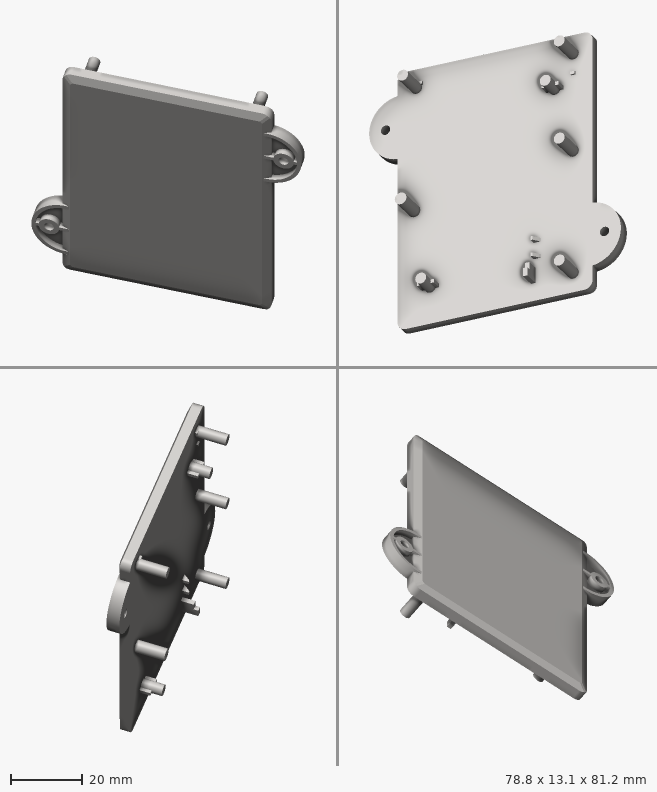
import cadquery as cq

PLATE_WIDTH = 61.0
PLATE_HEIGHT = 81.19
PLATE_THICKNESS = 4.0
CORNER_RADIUS = 2.6
BEVEL_WIDTH = 2.45
BEVEL_DEPTH = 1.0
BEVEL_CORNER_CUT = 0.7

OVERALL_WIDTH = 78.77
EAR_RADIUS = 10.0
EAR_X = OVERALL_WIDTH / 2 - EAR_RADIUS
EAR_Z = 23.55
EAR_THICKNESS = 3.85
EAR_FLOOR = 1.9
EAR_WALL = 1.2
EAR_RIB_WIDTH = 1.1
HUB_X = 34.25
HUB_RADIUS = 3.0
SCREW_HOLE_DIAMETER = 2.9

OVERALL_DEPTH = 13.1
POST_LENGTH = OVERALL_DEPTH - PLATE_THICKNESS
POST_DIAMETER = 3.4
POST_X = 24.5
CORNER_POST_Z = 34.6
LEFT_MIDDLE_POST_Z = 3.9
RIGHT_MIDDLE_POST_X = 25.2
RIGHT_MIDDLE_POST_Z = -4.05
RIGHT_MIDDLE_POST_DIAMETER = 3.65
RIGHT_MIDDLE_POST_LENGTH = 8.95

RIBBED_POST_CENTERS = [(-18.75, 24.7), (20.2, -29.1)]
RIBBED_POST_LENGTH = 6.3
SHOULDER_RIB_SPAN = 5.3
SHOULDER_RIB_WIDTH = 1.15
SHOULDER_RIB_LENGTH = 3.3

PAD_WIDTH = 1.4
PAD_THICKNESS = 0.9
POST_PAD_LENGTH = 0.75
POST_PAD_X = 23.25
POST_PAD_Z = 35.8
SIDE_PAD_LENGTH = 0.6
SIDE_PAD_Z = 28.45

BRACKET_RIGHT = -11.25
BRACKET_TOP = -30.15
BRACKET_STEP = -32.4
BRACKET_BOTTOM = -35.0
BRACKET_WIDTH = 1.4
BRACKET_LOW_LENGTH = 3.8
BRACKET_HIGH_LENGTH = 5.2
GUSSET_LEFT = -14.2
GUSSET_SHOULDER = -12.65
GUSSET_RIGHT = -12.1
GUSSET_LENGTH = 2.0
GUSSET_WIDTH = 1.15
GUSSET_CENTERS_Z = [-21.7, -26.85]

EMBED = 1.0


def frontward(y=0.0):
    """XZ workplane at height y whose extrusions run toward -Y."""
    return cq.Workplane("XZ", origin=(0, y, 0))


def cut_corner_rectangle(width, height, cut):
    """Points of a centred rectangle with 45 degree corner cuts."""
    x = width / 2
    z = height / 2
    return [
        (x - cut, z), (x, z - cut),
        (x, cut - z), (x - cut, -z),
        (cut - x, -z), (-x, cut - z),
        (-x, z - cut), (cut - x, z),
    ]


def make_plate():
    side_height = PLATE_THICKNESS - BEVEL_DEPTH
    blank = frontward().rect(PLATE_WIDTH, PLATE_HEIGHT).extrude(PLATE_THICKNESS)
    blank = blank.edges("|Y").fillet(CORNER_RADIUS)
    base_outline = cut_corner_rectangle(PLATE_WIDTH, PLATE_HEIGHT, BEVEL_CORNER_CUT)
    face_outline = cut_corner_rectangle(
        PLATE_WIDTH - 2 * BEVEL_WIDTH, PLATE_HEIGHT - 2 * BEVEL_WIDTH, BEVEL_CORNER_CUT
    )
    straight = frontward().polyline(base_outline).close().extrude(side_height)
    bevel = (
        frontward(-side_height).polyline(base_outline).close()
        .workplane(offset=BEVEL_DEPTH).polyline(face_outline).close()
        .loft(ruled=True, combine=True)
    )
    return blank.intersect(straight.union(bevel))


def make_right_ear():
    disc = frontward().center(EAR_X, EAR_Z).circle(EAR_RADIUS).extrude(EAR_THICKNESS)
    recess = (
        frontward(-EAR_FLOOR).center(EAR_X, EAR_Z)
        .circle(EAR_RADIUS - EAR_WALL).extrude(EAR_THICKNESS - EAR_FLOOR)
    )
    hub = frontward().center(HUB_X, EAR_Z).circle(HUB_RADIUS).extrude(EAR_THICKNESS)
    rib = (
        frontward().center(EAR_X, EAR_Z)
        .rect(2 * EAR_RADIUS - EAR_WALL, EAR_RIB_WIDTH).extrude(EAR_THICKNESS)
    )
    ear = disc.cut(recess).union(hub).union(rib)
    inner_end = PLATE_WIDTH / 2 - BEVEL_WIDTH
    for side in (1, -1):
        wall_z = EAR_Z + side * (EAR_RADIUS - EAR_WALL / 2)
        wall = (
            frontward().center((inner_end + EAR_X) / 2, wall_z)
            .rect(EAR_X - inner_end, EAR_WALL).extrude(EAR_THICKNESS)
        )
        ear = ear.union(wall)
    keep = (
        frontward().center(inner_end + EAR_RADIUS, EAR_Z)
        .rect(2 * EAR_RADIUS, 2 * EAR_RADIUS).extrude(EAR_THICKNESS)
    )
    hole = (
        frontward().center(HUB_X, EAR_Z)
        .circle(SCREW_HOLE_DIAMETER / 2).extrude(EAR_THICKNESS)
    )
    return ear.intersect(keep).cut(hole)


def back_post(x, z, diameter, length):
    return frontward(length).center(x, z).circle(diameter / 2).extrude(length + EMBED)


def back_block(x, z, width, height, length):
    return frontward(length).center(x, z).rect(width, height).extrude(length + EMBED)


def make_posts():
    posts = back_post(
        RIGHT_MIDDLE_POST_X, RIGHT_MIDDLE_POST_Z,
        RIGHT_MIDDLE_POST_DIAMETER, RIGHT_MIDDLE_POST_LENGTH,
    )
    centers = [
        (-POST_X, CORNER_POST_Z),
        (POST_X, CORNER_POST_Z),
        (-POST_X, LEFT_MIDDLE_POST_Z),
        (-POST_X, -CORNER_POST_Z),
    ]
    for x, z in centers:
        posts = posts.union(back_post(x, z, POST_DIAMETER, POST_LENGTH))
    return posts


def make_ribbed_post(x, z):
    post = back_post(x, z, POST_DIAMETER, RIBBED_POST_LENGTH)
    rib = back_block(x, z, SHOULDER_RIB_SPAN, SHOULDER_RIB_WIDTH, SHOULDER_RIB_LENGTH)
    return post.union(rib)


def make_pads():
    pads = back_block(-POST_X, SIDE_PAD_Z, PAD_WIDTH, PAD_THICKNESS, SIDE_PAD_LENGTH)
    for side in (1, -1):
        pad = back_block(side * POST_PAD_X, POST_PAD_Z, PAD_WIDTH, PAD_THICKNESS, POST_PAD_LENGTH)
        pads = pads.union(pad)
    return pads


def bracket_step(top, bottom, length):
    x = BRACKET_RIGHT - BRACKET_WIDTH / 2
    return back_block(x, (top + bottom) / 2, BRACKET_WIDTH, top - bottom, length)


def make_bracket():
    low = bracket_step(BRACKET_TOP, BRACKET_STEP, BRACKET_LOW_LENGTH)
    high = bracket_step(BRACKET_STEP, BRACKET_BOTTOM, BRACKET_HIGH_LENGTH)
    return low.union(high).clean()


def make_gusset(z):
    profile = [
        (GUSSET_LEFT, -EMBED), (GUSSET_LEFT, 0),
        (GUSSET_SHOULDER, GUSSET_LENGTH), (GUSSET_RIGHT, GUSSET_LENGTH),
        (GUSSET_RIGHT, -EMBED),
    ]
    base = cq.Workplane("XY", origin=(0, 0, z - GUSSET_WIDTH / 2))
    return base.polyline(profile).close().extrude(GUSSET_WIDTH)


right_ear = make_right_ear()
left_ear = right_ear.rotate((0, 0, 0), (0, 1, 0), 180)

result = make_plate().union(right_ear).union(left_ear)
result = result.union(make_posts()).union(make_pads()).union(make_bracket())
for post_x, post_z in RIBBED_POST_CENTERS:
    result = result.union(make_ribbed_post(post_x, post_z))
for gusset_z in GUSSET_CENTERS_Z:
    result = result.union(make_gusset(gusset_z))